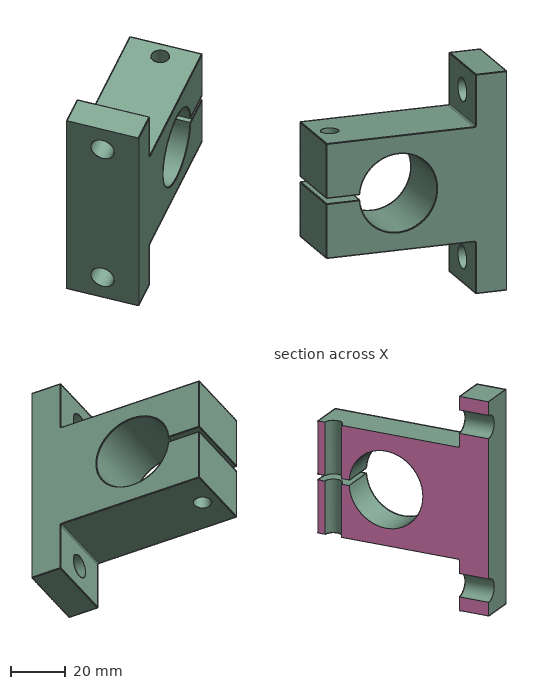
import cadquery as cq

width = 28.0
plate_height = 84
plate_thickness = 12.0

total_depth = 70.0
block_height = 44.0

bore_diameter = 30.0
bore_to_end = 28.0
slit_width = 2.0

mount_hole_diameter = 9.0
mount_hole_spacing = 64.0
clamp_hole_diameter = 6.6
clamp_hole_to_end = 6.5

edge_chamfer = 0.25
inner_corner_radius = 0.6

front_y = -total_depth / 2
end_y = total_depth / 2
plate_back_y = front_y + plate_thickness
bore_y = end_y - bore_to_end


def make_body():
    """T-shaped plate and block, with rounded inner corners, bored and slit along X."""
    plate = cq.Workplane("XY").box(width, plate_thickness, plate_height)
    plate = plate.translate((0, front_y + plate_thickness / 2, 0))
    block = cq.Workplane("XY").box(width, total_depth, block_height)
    bore = (
        cq.Workplane("YZ")
        .center(bore_y, 0)
        .circle(bore_diameter / 2)
        .extrude(width / 2, both=True)
    )
    slit = cq.Workplane("XY").box(width, bore_to_end, slit_width)
    slit = slit.translate((0, bore_y + bore_to_end / 2, 0))
    inner_corners = cq.selectors.BoxSelector(
        (-width, front_y, -block_height / 2 - inner_corner_radius),
        (width, bore_y, block_height / 2 + inner_corner_radius),
    )
    tee = plate.union(block)
    tee = tee.edges("|X").edges(inner_corners).fillet(inner_corner_radius)
    return tee.cut(bore).cut(slit)


def break_edges(body):
    """Chamfer the edges of both side faces and the outer corners along X."""
    corner_tolerance = edge_chamfer / 2
    plate_corners = cq.selectors.BoxSelector(
        (-width, plate_back_y - corner_tolerance, -plate_height),
        (width, plate_back_y + corner_tolerance, plate_height),
    )
    outer_corners = (
        body.edges("|X").edges(plate_corners).edges(">Z or <Z")
        .add(body.faces(">Y").edges("|X"))
    )
    side_edges = body.faces("<X or >X").edges().edges("not <Y")
    return body.newObject(outer_corners.vals() + side_edges.vals()).chamfer(edge_chamfer)


def drill_holes(body):
    """Two mounting holes through the plate and a clamp screw hole through both jaws."""
    mount_holes = (
        cq.Workplane("XZ", origin=(0, plate_back_y, 0))
        .rarray(0.8, mount_hole_spacing, 1, 2)
        .circle(mount_hole_diameter / 2)
        .extrude(plate_thickness)
    )
    clamp_hole = (
        cq.Workplane("XY")
        .center(0, end_y - clamp_hole_to_end)
        .circle(clamp_hole_diameter / 2)
        .extrude(block_height / 2, both=True)
    )
    return body.cut(mount_holes).cut(clamp_hole)


result = drill_holes(break_edges(make_body()))